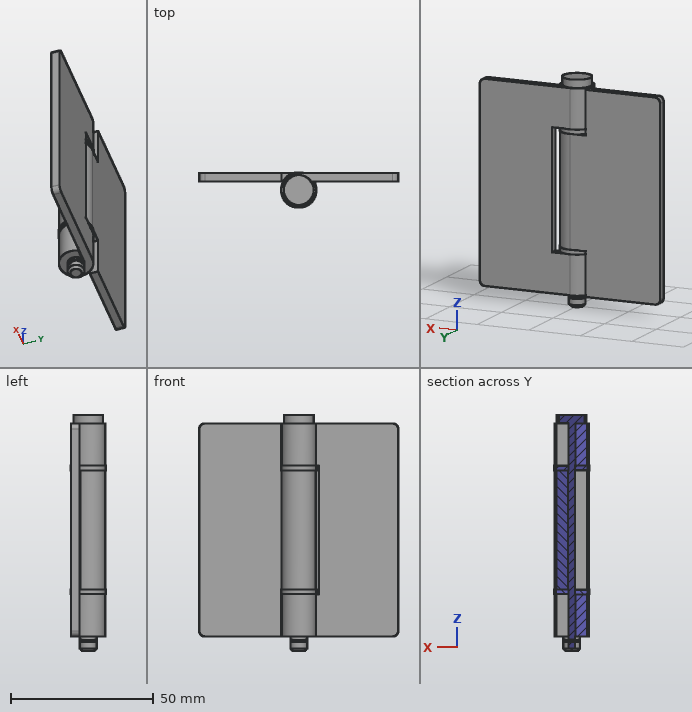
import cadquery as cq
import math

total_height = 83.0
hinge_width = 70.0
sheet = 3.1
corner_radius = 2.0
pin_diameter = 6.0
head_diameter = 10.5
head_height = 3.0
tail_length = 5.15
end_knuckle_length = 14.85
washer_thickness = 1.7
washer_diameter = 12.45
slot_edge = 7.0
curl_gap = 0.25

groove_offset = 1.2
groove_width = 0.75
groove_diameter = 4.8
tip_chamfer = 1.0

pin_radius = pin_diameter / 2
knuckle_radius = pin_radius + sheet
leaf_bottom = tail_length
leaf_top = total_height - head_height
leaf_back = knuckle_radius
leaf_front = leaf_back - sheet
lower_knuckle_top = leaf_bottom + end_knuckle_length
upper_knuckle_bottom = leaf_top - end_knuckle_length
middle_bottom = lower_knuckle_top + washer_thickness
middle_top = upper_knuckle_bottom - washer_thickness


def make_plate(inner_edge):
    """Flat leaf on the +X side with rounded outer corners."""
    width = hinge_width / 2 - inner_edge
    return (
        cq.Workplane("XY")
        .box(width, sheet, leaf_top - leaf_bottom, centered=False)
        .translate((inner_edge, leaf_front, leaf_bottom))
        .edges("|Y and >X")
        .fillet(corner_radius)
    )


def make_knuckle(bottom, top, plate_edge):
    """Sheet curled round the pin, with a tangent strip joining it to a leaf on the +X side."""
    length = top - bottom
    curl_end = leaf_front - curl_gap
    outer_x = math.sqrt(knuckle_radius**2 - curl_end**2)
    inner_x = math.sqrt(pin_radius**2 - curl_end**2)
    return (
        cq.Workplane("XY", origin=(0, 0, bottom))
        .moveTo(plate_edge, leaf_back)
        .lineTo(0, leaf_back)
        .threePointArc((-knuckle_radius, 0), (outer_x, curl_end))
        .lineTo(inner_x, curl_end)
        .threePointArc((-pin_radius, 0), (0, leaf_front))
        .lineTo(plate_edge, leaf_front)
        .close()
        .extrude(length)
    )


def make_outer_leaf():
    """Leaf on the +X side carrying the two end knuckles."""
    leaf = make_plate(slot_edge)
    for bottom, top in ((leaf_bottom, lower_knuckle_top), (upper_knuckle_bottom, leaf_top)):
        leaf = leaf.union(make_knuckle(bottom, top, slot_edge))
    return leaf


def make_middle_leaf():
    """Leaf on the -X side carrying the middle knuckle."""
    leaf = make_plate(knuckle_radius)
    leaf = leaf.union(make_knuckle(middle_bottom, middle_top, knuckle_radius))
    return leaf.mirror("YZ")


def make_washer(bottom):
    """Plain ring between neighbouring knuckles."""
    return (
        cq.Workplane("XY", origin=(0, 0, bottom))
        .circle(washer_diameter / 2)
        .circle(pin_radius)
        .extrude(washer_thickness)
    )


def make_pin():
    """Headed pin with a retaining groove and a chamfered tip."""
    groove_top = leaf_bottom - groove_offset
    groove = (
        cq.Workplane("XY", origin=(0, 0, groove_top - groove_width))
        .circle(pin_diameter)
        .circle(groove_diameter / 2)
        .extrude(groove_width)
    )
    shank = cq.Workplane("XY").circle(pin_radius).extrude(leaf_top).faces("<Z").chamfer(tip_chamfer)
    head = cq.Workplane("XY", origin=(0, 0, leaf_top)).circle(head_diameter / 2).extrude(head_height)
    return shank.cut(groove).union(head)


outer_leaf = make_outer_leaf()
middle_leaf = make_middle_leaf()
pin = make_pin()
washers = [make_washer(bottom).val() for bottom in (lower_knuckle_top, middle_top)]

result = cq.Compound.makeCompound([outer_leaf.val(), middle_leaf.val(), pin.val(), *washers])